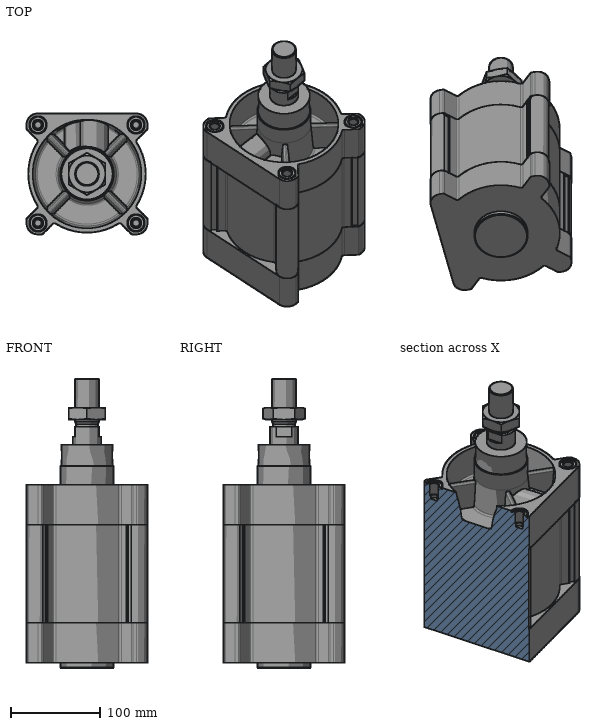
import cadquery as cq
import math

REAR_COLLAR_HEIGHT = 6
BODY_LENGTH = 200
CAP_HEIGHT = 45
OVERALL_LENGTH = 325
BODY_BOTTOM = REAR_COLLAR_HEIGHT
BODY_TOP = BODY_BOTTOM + BODY_LENGTH
BARREL_BOTTOM = BODY_BOTTOM + CAP_HEIGHT
BARREL_TOP = BODY_TOP - CAP_HEIGHT

BODY_SIZE = 136
BOLT_OFFSET = 55
BODY_RADIUS = 66
HALF_BODY = BODY_SIZE / 2
LUG_RADIUS = HALF_BODY - BOLT_OFFSET
LUG_WEB_WIDTH = 25
LUG_FILLET = 2.5
EDGE_MARGIN = 1
BOLT_RADIUS = BOLT_OFFSET * math.sqrt(2)
LUG_ANGLES = [45, 135, 225, 315]

BARREL_INSET = 0.1

GROOVE_WIDTH = 6
GROOVE_DEPTH = 2
GROOVE_DISTANCE = 79.2

COLLAR_DIAMETER = 60
COLLAR_HEIGHT = 21
REAR_COLLAR_CHAMFER = 1
FRONT_COLLAR_CHAMFER = 0.5
NECK_DIAMETER = 58
NECK_WAIST_DIAMETER = 57
NECK_HEIGHT = 24
COLLAR_TOP = BODY_TOP + COLLAR_HEIGHT
NECK_TOP = COLLAR_TOP + NECK_HEIGHT

RECESS_RADIUS = 61
RECESS_DEPTH = 35
RECESS_FILLET = 2
DRAFT_ANGLE = 5
RECESS_FLOOR = BODY_TOP - RECESS_DEPTH
DRAFT_RISE = math.tan(math.radians(DRAFT_ANGLE))

RIB_WIDTH = 5
RIB_DROP = 2.5
RIB_CROWN_FILLET = 2

PORT_BOSS = (8, 22, 31.4)
CUSHION_BOSS = (-14.5, 31, 22)

BOLT_RING_OUTER = 19.9
BOLT_RING_INNER = 18.63
BOLT_CHAMFER_DIAMETER = 18
BOLT_RING_DEPTH = 2
BOLT_THREAD_DIAMETER = 10.11
BOLT_THREAD_MOUTH = 12
BOLT_THREAD_DEPTH = 16
BOLT_CORE_DIAMETER = 8
BOLT_CORE_DEPTH = 4

ROD_DIAMETER = 32
ROD_BOTTOM = BARREL_TOP
ROD_FLATS_WIDTH = 27
ROD_FLATS_HEIGHT = 11
ROD_THREAD_DIAMETER = 27
ROD_TIP_DIAMETER = 24.9
ROD_RELIEF_DIAMETER = 24.84
ROD_END_LENGTH = 54
ROD_SHOULDER = OVERALL_LENGTH - ROD_END_LENGTH
RELIEF_HEIGHT = 2.8
RUNOUT_HEIGHT = 2.8
RELIEF_TOP = ROD_SHOULDER + RELIEF_HEIGHT
THREAD_BOTTOM = RELIEF_TOP + RUNOUT_HEIGHT

NUT_WIDTH = 41
NUT_HEIGHT = 13.5
NUT_SETBACK = 46
NUT_BOTTOM = OVERALL_LENGTH - NUT_SETBACK
NUT_CHAMFER_ANGLE = 20


def disc(diameter, bottom, top):
    """Upright cylinder on the main axis."""
    return cq.Workplane("XY").workplane(offset=bottom).circle(diameter / 2).extrude(top - bottom)


def slab(width, depth, bottom, top):
    """Upright box centred on the main axis."""
    return cq.Workplane("XY").workplane(offset=bottom).rect(width, depth).extrude(top - bottom)


def around_lugs(shape):
    """Copies of a shape built on the +X axis, turned to the four diagonals."""
    copies = cq.Workplane("XY")
    for angle in LUG_ANGLES:
        copies = copies.add(shape.rotate((0, 0, 0), (0, 0, 1), angle))
    return copies.combine()


def fillet_corners(shape, inner_radius, outer_radius):
    """Round the upright edges that lie between two distances from the axis."""

    def wanted(edge):
        center = edge.Center()
        distance = math.hypot(center.x, center.y)
        is_seam = abs(center.y) < EDGE_MARGIN
        return inner_radius < distance < outer_radius and not is_seam

    return shape.edges("|Z").filter(wanted).fillet(LUG_FILLET)


def cap(bottom):
    """End cap: round body, squared lugs and a flat port face on the +Y side."""
    top = bottom + CAP_HEIGHT
    outline = slab(BODY_SIZE, BODY_SIZE, bottom, top).edges("|Z").fillet(LUG_RADIUS)
    shape = disc(2 * BODY_RADIUS, bottom, top)
    long_web = slab(2 * BODY_SIZE, LUG_WEB_WIDTH, bottom, top)
    for angle in LUG_ANGLES[:2]:
        shape = shape.union(long_web.rotate((0, 0, 0), (0, 0, 1), angle).intersect(outline))
    flat_reach = 2 * LUG_RADIUS
    flat_face = slab(2 * BOLT_OFFSET, flat_reach, bottom, top)
    shape = shape.union(flat_face.translate((0, HALF_BODY - flat_reach / 2, 0))).clean()
    corner_tangent = math.hypot(HALF_BODY, BOLT_OFFSET)
    return fillet_corners(shape, BODY_RADIUS - EDGE_MARGIN, corner_tangent - EDGE_MARGIN)


def barrel():
    """Profile tube between the caps, with round lugs and grooved lug flanks."""
    barrel_radius = BODY_RADIUS - BARREL_INSET
    lug_radius = LUG_RADIUS - BARREL_INSET
    shape = disc(2 * barrel_radius, BARREL_BOTTOM, BARREL_TOP)
    web_width = LUG_WEB_WIDTH - 2 * BARREL_INSET
    web = slab(2 * BOLT_RADIUS, web_width, BARREL_BOTTOM, BARREL_TOP)
    for angle in LUG_ANGLES[:2]:
        shape = shape.union(web.rotate((0, 0, 0), (0, 0, 1), angle))
    shape = fillet_corners(shape, BODY_RADIUS - EDGE_MARGIN, BODY_RADIUS + EDGE_MARGIN)
    lug = disc(2 * lug_radius, BARREL_BOTTOM, BARREL_TOP).translate((BOLT_RADIUS, 0, 0))
    web_end = GROOVE_DISTANCE - GROOVE_WIDTH / 2
    lug = lug.cut(disc(2 * web_end, BARREL_BOTTOM, BARREL_TOP))
    groove = slab(GROOVE_WIDTH, 2 * GROOVE_DEPTH, BARREL_BOTTOM, BARREL_TOP)
    shape = shape.union(around_lugs(lug))
    for side in (-1, 1):
        shape = shape.cut(around_lugs(groove.translate((GROOVE_DISTANCE, side * web_width / 2, 0))))
    return shape


def neck():
    """Waisted neck above the front collar."""
    return (
        cq.Workplane("XZ")
        .moveTo(0, COLLAR_TOP)
        .lineTo(NECK_DIAMETER / 2, COLLAR_TOP)
        .threePointArc(
            (NECK_WAIST_DIAMETER / 2, COLLAR_TOP + NECK_HEIGHT / 2),
            (NECK_DIAMETER / 2, NECK_TOP),
        )
        .lineTo(0, NECK_TOP)
        .close()
        .revolve()
    )


def recess_ring():
    """Drafted ring-shaped space between the cap wall and the central hub."""
    draft = RECESS_DEPTH * DRAFT_RISE
    hub_radius = COLLAR_DIAMETER / 2
    return (
        cq.Workplane("XZ")
        .polyline(
            [
                (hub_radius, BODY_TOP),
                (RECESS_RADIUS, BODY_TOP),
                (RECESS_RADIUS - draft, RECESS_FLOOR),
                (hub_radius + draft, RECESS_FLOOR),
            ]
        )
        .close()
        .revolve()
    )


def ribs():
    """Four drafted ribs with rounded crown edges."""
    half_width = RIB_WIDTH / 2
    crown = BODY_TOP - RIB_DROP
    base_half_width = half_width + (crown - RECESS_FLOOR) * DRAFT_RISE
    rib = (
        cq.Workplane("YZ")
        .polyline(
            [
                (-base_half_width, RECESS_FLOOR),
                (-half_width, crown),
                (half_width, crown),
                (base_half_width, RECESS_FLOOR),
            ]
        )
        .close()
        .extrude(BODY_RADIUS)
    )
    rib = rib.faces(">Z").edges("|X").fillet(RIB_CROWN_FILLET)
    return around_lugs(rib)


def port_boss(x, depth, diameter):
    """Round boss that runs along Y from the hub to the port face."""
    return (
        cq.Workplane("XZ")
        .center(x, BODY_TOP - depth)
        .circle(diameter / 2)
        .extrude(-BODY_RADIUS)
    )


def front_recess():
    """Space to remove from the front cap, leaving its ribs and port bosses."""
    ring = recess_ring()
    ring = ring.faces("<Z").edges().fillet(RECESS_FILLET)
    return ring.cut(ribs()).cut(port_boss(*PORT_BOSS)).cut(port_boss(*CUSHION_BOSS))


def bolt_end():
    """Space to remove around and inside one bolt end, on the main axis."""
    chamfer = (BOLT_RING_INNER - BOLT_CHAMFER_DIAMETER) / 2
    ring = disc(BOLT_RING_OUTER, BODY_TOP - BOLT_RING_DEPTH, BODY_TOP)
    head = disc(BOLT_RING_INNER, BODY_TOP - BOLT_RING_DEPTH, BODY_TOP)
    head = head.faces(">Z").edges().chamfer(chamfer)
    mouth_depth = (BOLT_THREAD_MOUTH - BOLT_THREAD_DIAMETER) / 2
    thread_bottom = BODY_TOP - BOLT_THREAD_DEPTH
    hole = disc(BOLT_THREAD_DIAMETER, thread_bottom, BODY_TOP)
    mouth = cq.Solid.makeCone(
        BOLT_THREAD_DIAMETER / 2,
        BOLT_THREAD_MOUTH / 2,
        mouth_depth,
        pnt=cq.Vector(0, 0, BODY_TOP - mouth_depth),
    )
    core = disc(BOLT_CORE_DIAMETER, thread_bottom - BOLT_CORE_DEPTH, thread_bottom)
    return ring.cut(head).union(hole).union(cq.Workplane(mouth)).union(core)


def make_housing():
    """Barrel, both caps, collars and neck as one solid with a bore for the rod."""
    rear_collar = disc(COLLAR_DIAMETER, 0, BODY_BOTTOM)
    rear_collar = rear_collar.faces("<Z").edges().chamfer(REAR_COLLAR_CHAMFER)
    front_collar = disc(COLLAR_DIAMETER, BODY_TOP, COLLAR_TOP)
    front_collar = front_collar.faces(">Z").edges().chamfer(FRONT_COLLAR_CHAMFER)
    shape = cap(BODY_BOTTOM).union(barrel()).union(cap(BARREL_TOP))
    shape = shape.cut(front_recess())
    shape = shape.union(rear_collar).union(front_collar).union(neck())
    shape = shape.cut(around_lugs(bolt_end().translate((BOLT_RADIUS, 0, 0))))
    return shape.cut(disc(ROD_DIAMETER, ROD_BOTTOM, NECK_TOP))


def make_rod():
    """Piston rod with wrench flats, a relieved shoulder and a threaded end."""
    tip_chamfer = (ROD_THREAD_DIAMETER - ROD_TIP_DIAMETER) / 2
    rod = (
        cq.Workplane("XZ")
        .polyline(
            [
                (0, ROD_BOTTOM),
                (ROD_DIAMETER / 2, ROD_BOTTOM),
                (ROD_DIAMETER / 2, ROD_SHOULDER),
                (ROD_RELIEF_DIAMETER / 2, ROD_SHOULDER),
                (ROD_RELIEF_DIAMETER / 2, RELIEF_TOP),
                (ROD_THREAD_DIAMETER / 2, THREAD_BOTTOM),
                (ROD_THREAD_DIAMETER / 2, OVERALL_LENGTH - tip_chamfer),
                (ROD_TIP_DIAMETER / 2, OVERALL_LENGTH),
                (0, OVERALL_LENGTH),
            ]
        )
        .close()
        .revolve()
    )
    flats_bottom = ROD_SHOULDER - ROD_FLATS_HEIGHT
    flats = disc(2 * ROD_DIAMETER, flats_bottom, ROD_SHOULDER)
    flats = flats.cut(slab(ROD_FLATS_WIDTH, 2 * ROD_DIAMETER, flats_bottom, ROD_SHOULDER))
    return rod.cut(flats)


def make_nut():
    """Hexagon nut with two flats facing along X and chamfered corners."""
    corner_diameter = NUT_WIDTH / math.cos(math.pi / 6)
    chamfer_width = (corner_diameter - NUT_WIDTH) / 2
    chamfer_height = chamfer_width * math.tan(math.radians(NUT_CHAMFER_ANGLE))
    nut_top = NUT_BOTTOM + NUT_HEIGHT
    half_sector = 360 / 12
    hexagon = (
        cq.Workplane("XY")
        .workplane(offset=NUT_BOTTOM)
        .polygon(6, corner_diameter)
        .extrude(NUT_HEIGHT)
        .rotate((0, 0, 0), (0, 0, 1), half_sector)
    )
    envelope = disc(corner_diameter, NUT_BOTTOM, nut_top)
    envelope = envelope.faces("<Z or >Z").edges().chamfer(chamfer_height, chamfer_width)
    return hexagon.intersect(envelope).cut(disc(ROD_THREAD_DIAMETER, NUT_BOTTOM, nut_top))


housing = make_housing()
rod = make_rod()
nut = make_nut()

result = cq.Compound.makeCompound([housing.val(), rod.val(), nut.val()])